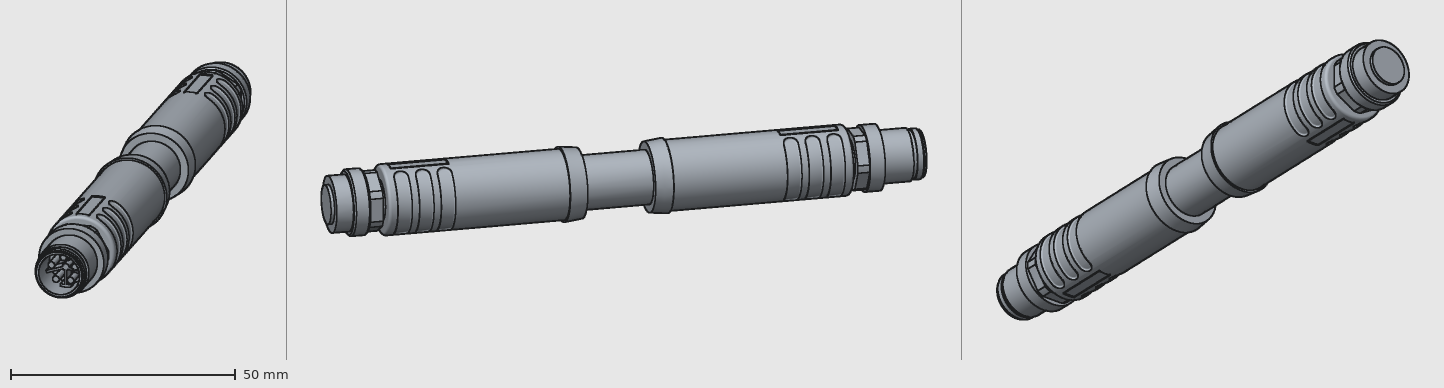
import cadquery as cq
import math

length = 136.8
half_length = length / 2
cable_diameter = 12.3

grip_length = 45.7
grip_diameter = 16.0
grip_edge_radius = 0.7
flare_length = 4.1
flare_diameter = 17.0
male_grip_end = -51.0
female_grip_end = 56.0

groove_count = 3
groove_width = 3.3
pad_length = 13.3
groove_pitch = (pad_length - groove_width) / (groove_count - 1)
groove_first = 3.7
groove_floor_diameter = 15.0
groove_floor_fillet = 0.34
groove_gap = 5.7
pad_width = 3.0
pad_floor_height = 7.7

collar_diameter = 15.0
neck_diameter = 9.5
hex_across_flats = 12.9
hex_across_corners = 14.0
male_hex_turn = 0
female_hex_turn = 30

male_hex_start = -52.1
male_collar_start = -54.9
male_barrel_start = -58.3
male_groove_start = -65.3
male_tip_start = -66.2
male_barrel_diameter = 12.0
male_groove_diameter = 10.8
male_tip_diameter = 11.5
male_end_diameter = 10.5
male_tip_taper = 0.8
male_lip_diameter = 10.8
male_lip_edge = 0.1
male_lip_length = 0.5
socket_diameter = 9.5
socket_depth = 8.9

female_hex_start = 56.9
female_collar_start = 59.9
female_barrel_start = 63.7
female_insert_start = 67.6
female_barrel_diameter = 12.9
female_insert_diameter = 8.9
female_collar_chamfer = 0.4

ring_contacts = 5
contact_ring_radius = 2.9
pin_diameter = 1.5
pin_length = 5.5

shield_arm_angles = (-162, -90, -18)
shield_thickness = 0.5
shield_hub_diameter = 1.6
shield_collar_diameter = 2.9
shield_collar_bore = 2.0
shield_length = 3.4
key_width = 2.5
key_height = 0.7


def rod(diameter, start, end):
    """Round bar along Y between two stations."""
    low, high = sorted((start, end))
    return cq.Workplane("XZ", origin=(0, low, 0)).circle(diameter / 2).extrude(low - high)


def hexagon(start, end, turn):
    """Hexagon along Y with turned corners; a turn of 0 puts a corner on +X."""
    circumscribed = hex_across_flats / math.cos(math.pi / 6)
    low, high = sorted((start, end))
    prism = cq.Workplane("XZ", origin=(0, low, 0)).polygon(6, circumscribed).extrude(low - high)
    prism = prism.rotate((0, 0, 0), (0, 1, 0), turn)
    return prism.intersect(rod(hex_across_corners, start, end))


def grip_body():
    """Plain sleeve from Y = 0 (plug side) to Y = grip_length (cable side)."""
    radius = grip_diameter / 2
    step = grip_length - flare_length
    profile = (
        cq.Workplane("XY")
        .lineTo(radius - grip_edge_radius, 0)
        .radiusArc((radius, grip_edge_radius), -grip_edge_radius)
        .lineTo(radius, step)
        .lineTo(flare_diameter / 2, step)
        .lineTo(radius, grip_length)
        .lineTo(0, grip_length)
        .close()
    )
    return profile.revolve(360, (0, 0, 0), (0, 1, 0))


def finger_grooves():
    """Grooves around both sides, each with rounded ends near the top and bottom."""
    reach = grip_diameter
    slot_length = reach - groove_gap / 2
    slot_middle = groove_gap / 2 + slot_length / 2
    cutter = (
        cq.Workplane("XY", origin=(slot_middle, 0, -reach))
        .slot2D(slot_length, groove_width)
        .extrude(2 * reach)
        .cut(rod(groove_floor_diameter, -groove_width, groove_width))
    )
    near_axis = grip_diameter / 2
    floor_edges = cq.selectors.BoxSelector(
        (-near_axis, -groove_width, -near_axis), (near_axis, groove_width, near_axis)
    )
    cutter = cutter.edges(floor_edges).fillet(groove_floor_fillet)
    pair = cutter.union(cutter.mirror("YZ"))
    grooves = cq.Workplane("XY")
    for index in range(groove_count):
        grooves = grooves.add(pair.translate((0, groove_first + index * groove_pitch, 0)))
    return grooves.combine()


def pad_recesses():
    """Flat-bottomed recesses on the top and bottom of the sleeve."""
    middle = groove_first + groove_pitch * (groove_count - 1) / 2
    depth = grip_diameter / 2 - pad_floor_height
    blocks = cq.Workplane("XY")
    for side in (-1, 1):
        height = side * (pad_floor_height + depth / 2)
        block = cq.Workplane("XY", origin=(0, middle, height)).box(pad_width, pad_length, depth)
        blocks = blocks.add(block)
    return blocks.combine()


def grip():
    return grip_body().cut(finger_grooves()).cut(pad_recesses())


def contact_points():
    points = []
    for index in range(ring_contacts):
        angle = math.pi / 2 + 2 * math.pi * index / ring_contacts
        points.append((contact_ring_radius * math.cos(angle), contact_ring_radius * math.sin(angle)))
    return points


def male_tip():
    """Tip with a short cone down to a narrow lip at the open end."""
    profile = (
        cq.Workplane("XY", origin=(0, -half_length, 0))
        .lineTo(male_end_diameter / 2, 0)
        .lineTo(male_lip_diameter / 2, male_lip_edge)
        .lineTo(male_lip_diameter / 2, male_lip_length)
        .lineTo(male_tip_diameter / 2, male_tip_taper)
        .lineTo(male_tip_diameter / 2, male_tip_start + half_length)
        .lineTo(0, male_tip_start + half_length)
        .close()
    )
    return profile.revolve(360, (0, 0, 0), (0, 1, 0))


def shield(floor):
    """Three-armed wall between the pins, a collar around the top pin, and the coding key."""
    front = floor - shield_length
    body = rod(shield_hub_diameter, floor, front)
    arm_length = socket_diameter / 2
    for angle in shield_arm_angles:
        arm = cq.Workplane("XY").box(
            arm_length, shield_length, shield_thickness, centered=(False, False, True)
        )
        arm = arm.translate((0, front, 0)).rotate((0, 0, 0), (0, 1, 0), -angle)
        body = body.union(arm)
    collar = rod(shield_collar_diameter, floor, front).cut(rod(shield_collar_bore, floor, front))
    body = body.union(collar.translate((0, 0, contact_ring_radius)))
    key = cq.Workplane("XY").box(key_width, shield_length, 2 * key_height)
    body = body.union(key.translate((0, front + shield_length / 2, -socket_diameter / 2)))
    return body.intersect(rod(socket_diameter, floor, front))


def male_plug():
    plug = rod(neck_diameter, male_grip_end, male_hex_start)
    plug = plug.union(hexagon(male_hex_start, male_collar_start, male_hex_turn))
    plug = plug.union(rod(collar_diameter, male_collar_start, male_barrel_start))
    plug = plug.union(rod(male_barrel_diameter, male_barrel_start, male_groove_start))
    plug = plug.union(rod(male_groove_diameter, male_groove_start, male_tip_start))
    socket_floor = -half_length + socket_depth
    plug = plug.union(male_tip()).cut(rod(socket_diameter, -half_length, socket_floor))
    pins = (
        cq.Workplane("XZ", origin=(0, socket_floor, 0))
        .pushPoints(contact_points())
        .circle(pin_diameter / 2)
        .extrude(pin_length)
    )
    return plug.union(shield(socket_floor)).union(pins)


def female_plug():
    plug = rod(neck_diameter, female_grip_end, female_hex_start)
    plug = plug.union(hexagon(female_hex_start, female_collar_start, female_hex_turn))
    collar = rod(collar_diameter, female_collar_start, female_barrel_start)
    plug = plug.union(collar.edges().chamfer(female_collar_chamfer))
    plug = plug.union(rod(female_barrel_diameter, female_barrel_start, female_insert_start))
    return plug.union(rod(female_insert_diameter, female_insert_start, half_length))


male_grip = grip().translate((0, male_grip_end, 0))
female_grip = grip().rotate((0, 0, 0), (0, 0, 1), 180).translate((0, female_grip_end, 0))
cable = rod(cable_diameter, male_grip_end + grip_length, female_grip_end - grip_length)

result = cable.union(male_grip).union(female_grip).union(male_plug()).union(female_plug())